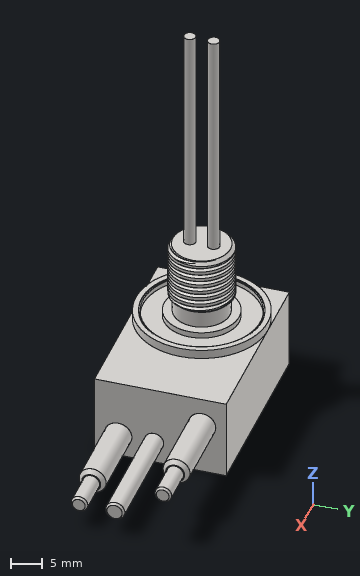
import cadquery as cq

BODY_LENGTH = 32.0
BODY_WIDTH = 22.0
BODY_HEIGHT = 14.0

FLANGE_DIAMETER = BODY_WIDTH
FLANGE_HEIGHT = 1.6
RECESS_RIM_DIAMETER = 20.0
RECESS_DIAMETER = 19.5
RECESS_DEPTH = 1.0
RECESS_RIM_DEPTH = 0.2
BOSS_DIAMETER = 12.5

NECK_DIAMETER = 9.4
NECK_HEIGHT = 2.95
THREAD_DIAMETER = 10.8
THREAD_LENGTH = 10.0
THREAD_TURNS = 8
THREAD_PITCH = THREAD_LENGTH / THREAD_TURNS
THREAD_DEPTH = 0.55
GROOVE_WIDTH = THREAD_PITCH / 2
ROOT_WIDTH = 0.1
GROOVE_OVERRUN = 0.15
GROOVE_EXTRA_TURNS = 2
BLANK_ALLOWANCE = 4.1
FIRST_GROOVE_DROP = 1.45
THREAD_END_CHAMFER = 0.6

TOTAL_HEIGHT = 68.5
WIRE_DIAMETER = 2.0
WIRE_OFFSET = 2.0

PIN_LENGTH = 20.0
PIN_TIP_CHAMFER = 0.35
SLIM_PIN_DIAMETER = 2.8
PLAIN_PIN_DIAMETER = 3.2
SLEEVE_DIAMETER = 4.5
SLEEVE_LENGTH = 13.7
SLEEVE_CHAMFER = 0.7
LOWER_PIN_HEIGHT = 4.0
UPPER_PIN_HEIGHT = 9.0
SLEEVED_PIN_OFFSET = 7.0
PLAIN_PIN_Y = -1.0

OVERLAP = 0.7

FLANGE_TOP = BODY_HEIGHT + FLANGE_HEIGHT
NECK_TOP = FLANGE_TOP + NECK_HEIGHT
THREAD_TOP = NECK_TOP + THREAD_LENGTH
BODY_LEFT = -FLANGE_DIAMETER / 2
BODY_RIGHT = BODY_LEFT + BODY_LENGTH


def cylinder_up(diameter, bottom, top, y=0):
    """Vertical cylinder between two levels."""
    base = cq.Workplane("XY", origin=(0, y, bottom))
    return base.circle(diameter / 2).extrude(top - bottom)


def make_body():
    box = cq.Workplane("XY").box(BODY_LENGTH, BODY_WIDTH, BODY_HEIGHT, centered=(False, True, False))
    return box.translate((BODY_LEFT, 0, 0))


def make_flange():
    floor = FLANGE_TOP - RECESS_DEPTH
    flange = cylinder_up(FLANGE_DIAMETER, BODY_HEIGHT - OVERLAP, FLANGE_TOP)
    recess = cylinder_up(RECESS_DIAMETER, floor, FLANGE_TOP)
    rim = cylinder_up(RECESS_RIM_DIAMETER, FLANGE_TOP - RECESS_RIM_DEPTH, FLANGE_TOP)
    boss = cylinder_up(BOSS_DIAMETER, floor, FLANGE_TOP)
    return flange.cut(recess.union(rim).cut(boss))


def make_thread():
    """Right-hand threaded stud: a helical V groove in a cylinder, trimmed to a chamfered stud."""
    envelope = cylinder_up(THREAD_DIAMETER, NECK_TOP, THREAD_TOP).faces("|Z").chamfer(THREAD_END_CHAMFER)

    blank = cylinder_up(THREAD_DIAMETER, NECK_TOP - BLANK_ALLOWANCE, THREAD_TOP + BLANK_ALLOWANCE)
    turns = THREAD_TURNS + GROOVE_EXTRA_TURNS
    start = THREAD_TOP - FIRST_GROOVE_DROP - THREAD_TURNS * THREAD_PITCH
    root_radius = THREAD_DIAMETER / 2 - THREAD_DEPTH
    outer_radius = THREAD_DIAMETER / 2 + GROOVE_OVERRUN
    flank_run = (GROOVE_WIDTH - ROOT_WIDTH) / 2 * (THREAD_DEPTH + GROOVE_OVERRUN) / THREAD_DEPTH
    half_root = ROOT_WIDTH / 2
    half_mouth = half_root + flank_run
    path = cq.Wire.makeHelix(THREAD_PITCH, turns * THREAD_PITCH, root_radius, center=cq.Vector(0, 0, start))
    profile = cq.Workplane("XZ").polyline([
        (root_radius, start + half_root),
        (root_radius, start - half_root),
        (outer_radius, start - half_mouth),
        (outer_radius, start + half_mouth),
    ]).close()
    groove = profile.sweep(cq.Workplane(path), isFrenet=True)
    return blank.cut(groove).intersect(envelope)


def make_pin(diameter, length, chamfer, y, z):
    """Round pin leaving the +X side of the body, with a chamfered end."""
    base = cq.Workplane("YZ", origin=(BODY_RIGHT - OVERLAP, y, z))
    return base.circle(diameter / 2).extrude(length + OVERLAP).faces(">X").chamfer(chamfer)


def make_sleeved_pin(y, z):
    sleeve = make_pin(SLEEVE_DIAMETER, SLEEVE_LENGTH, SLEEVE_CHAMFER, y, z)
    return sleeve.union(make_pin(SLIM_PIN_DIAMETER, PIN_LENGTH, PIN_TIP_CHAMFER, y, z))


def make_neck():
    return cylinder_up(NECK_DIAMETER, FLANGE_TOP - OVERLAP, NECK_TOP + OVERLAP)


def make_wire(y):
    return cylinder_up(WIRE_DIAMETER, THREAD_TOP - OVERLAP, TOTAL_HEIGHT, y)


def make_plain_pin(y, z):
    return make_pin(PLAIN_PIN_DIAMETER, PIN_LENGTH, PIN_TIP_CHAMFER, y, z)


result = make_body().union(make_flange()).union(make_neck()).union(make_thread())
for wire_y in (-WIRE_OFFSET, WIRE_OFFSET):
    result = result.union(make_wire(wire_y))

result = result.union(make_sleeved_pin(-SLEEVED_PIN_OFFSET, LOWER_PIN_HEIGHT))
result = result.union(make_sleeved_pin(SLEEVED_PIN_OFFSET, UPPER_PIN_HEIGHT))
result = result.union(make_plain_pin(PLAIN_PIN_Y, LOWER_PIN_HEIGHT))